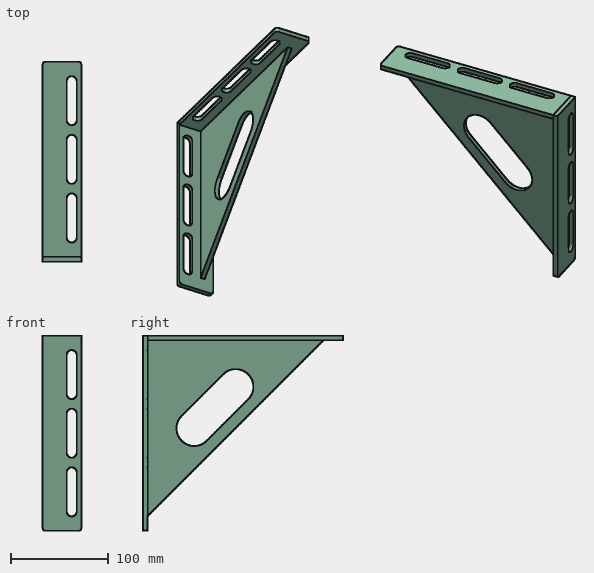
import cadquery as cq
import math

plate_length = 200.0
plate_width = 40.0
thickness = 5.0
corner_radius = 3.0

slot_count = 3
slot_length = 50.0
slot_width = 10.0
slot_pitch = 60.0
slot_end_margin = 15.0
slot_center_x = 30.0

gusset_leg = 180.0
gusset_inset = 10.0
window_width = 36.0
window_center_spacing = 60.0
window_to_long_edge = 30.0


def slotted_plate():
    """Flat plate from the origin along +Y, with its rounded free end at maximum Y."""
    plate = (
        cq.Workplane("XY")
        .box(plate_width, plate_length, thickness, centered=False)
        .edges("|Z and >Y")
        .fillet(corner_radius)
    )
    first_center_y = plate_length - slot_end_margin - slot_length / 2
    centers = [(slot_center_x, first_center_y - i * slot_pitch) for i in range(slot_count)]
    slots = (
        cq.Workplane("XY")
        .pushPoints(centers)
        .slot2D(slot_length, slot_width, angle=90)
        .extrude(thickness)
    )
    return plate.cut(slots)


def make_top_plate():
    """Horizontal plate that butts against the back of the front plate."""
    return slotted_plate().translate((0, thickness, plate_length - thickness))


def make_front_plate():
    """Upright plate with its free end at the bottom."""
    hanging = slotted_plate().rotate((0, 0, 0), (1, 0, 0), -90)
    return hanging.translate((0, 0, plate_length))


def make_gusset():
    """Triangular web in the inner corner, set in from the -X edges of the plates."""
    corner_y = thickness
    corner_z = plate_length - thickness
    web = (
        cq.Workplane("YZ", origin=(gusset_inset, 0, 0))
        .moveTo(corner_y, corner_z)
        .lineTo(corner_y + gusset_leg, corner_z)
        .lineTo(corner_y, corner_z - gusset_leg)
        .close()
        .extrude(thickness)
    )
    corner_to_long_edge = gusset_leg / math.sqrt(2)
    window_offset = (corner_to_long_edge - window_to_long_edge) / math.sqrt(2)
    window = (
        cq.Workplane("YZ", origin=(gusset_inset, 0, 0))
        .center(corner_y + window_offset, corner_z - window_offset)
        .slot2D(window_center_spacing + window_width, window_width, angle=45)
        .extrude(thickness)
    )
    return web.cut(window)


top_plate = make_top_plate()
front_plate = make_front_plate()
gusset = make_gusset()

result = cq.Compound.makeCompound([top_plate.val(), front_plate.val(), gusset.val()])